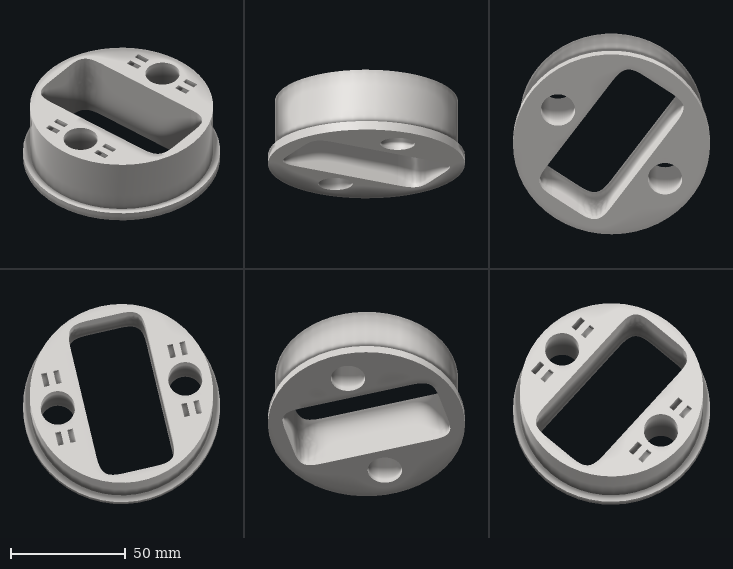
import cadquery as cq

flange_diameter = 86
flange_height = 4
body_diameter = 80
total_height = 29

window_length = 70
window_width = 34.2
corner_setback = 10
corner_fullness = 0.8

hole_diameter = 15
hole_offset = (body_diameter + window_width) / 4

tunnel_width = 6
tunnel_gap = 3
tunnel_outer_radius = 4
tunnel_inner_radius = 1.5
tunnel_offset_x = hole_diameter / 2 + tunnel_gap + tunnel_width / 2
tunnel_offset_y = 28.25


def make_drum():
    flange = cq.Workplane("XY").circle(flange_diameter / 2).extrude(flange_height)
    body = cq.Workplane("XY").circle(body_diameter / 2).extrude(total_height)
    return flange.union(body)


def make_window():
    half_length = window_length / 2
    half_width = window_width / 2
    handle = corner_setback * (1 - corner_fullness)

    def end_side_point(sign_x, sign_y, setback):
        return (sign_x * half_length, sign_y * (half_width - setback))

    def long_side_point(sign_x, sign_y, setback):
        return (sign_x * (half_length - setback), sign_y * half_width)

    outline = cq.Workplane("XY").moveTo(*end_side_point(1, -1, corner_setback))
    for sign_x, sign_y in ((1, 1), (-1, 1), (-1, -1), (1, -1)):
        entry, leave = end_side_point, long_side_point
        if sign_x != sign_y:
            entry, leave = long_side_point, end_side_point
        start = entry(sign_x, sign_y, corner_setback)
        outline = outline.lineTo(*start).bezier(
            [
                start,
                entry(sign_x, sign_y, handle),
                leave(sign_x, sign_y, handle),
                leave(sign_x, sign_y, corner_setback),
            ]
        )
    return outline.close().extrude(total_height)


def make_holes():
    centers = [(0, -hole_offset), (0, hole_offset)]
    return cq.Workplane("XY").pushPoints(centers).circle(hole_diameter / 2).extrude(total_height)


def make_tunnel(center_x, center_y):
    origin = (center_x - tunnel_width / 2, center_y, total_height)
    ring = cq.Workplane("YZ", origin=origin).circle(tunnel_outer_radius).circle(tunnel_inner_radius)
    return ring.extrude(tunnel_width)


result = make_drum().cut(make_window()).cut(make_holes())
for tunnel_x in (-tunnel_offset_x, tunnel_offset_x):
    for tunnel_y in (-tunnel_offset_y, tunnel_offset_y):
        result = result.cut(make_tunnel(tunnel_x, tunnel_y))